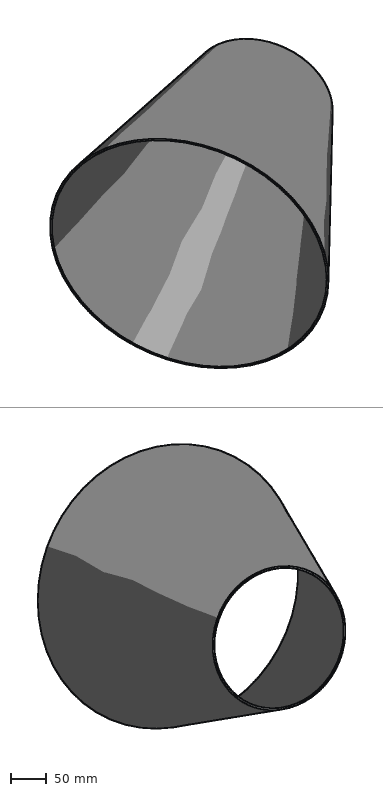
import cadquery as cq

large_diameter = 406.0
small_diameter = 206.0
length = 356.0
radial_wall = 3.0

large_radius = large_diameter / 2
small_radius = small_diameter / 2

wall_section = (
    cq.Workplane("XY")
    .moveTo(large_radius - radial_wall, 0)
    .lineTo(large_radius, 0)
    .lineTo(small_radius, length)
    .lineTo(small_radius - radial_wall, length)
    .close()
)

result = wall_section.revolve(360, (0, 0, 0), (0, 1, 0))